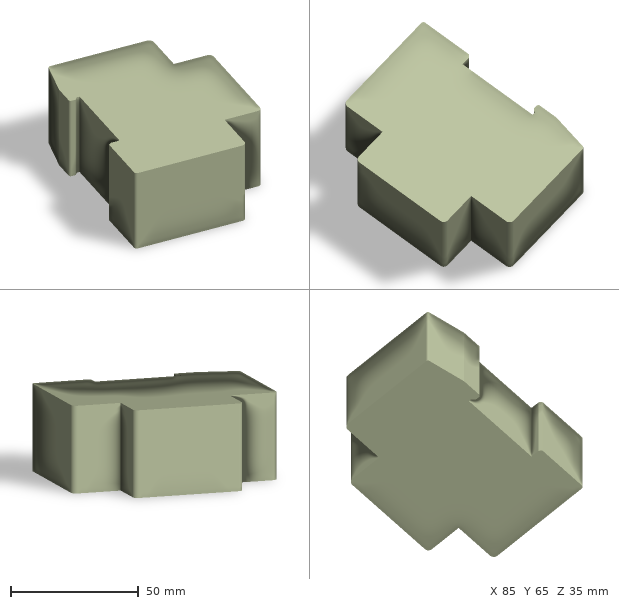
import cadquery as cq

width = 85.0
depth = 65.0
height = 35.0

tower_width = 45.2
tower_left = (width - tower_width) / 2
tower_right = tower_left + tower_width
shoulder_y = 48.6

recess_depth = 5.0
recess_left = 25.0
recess_right = 60.6

hook_tip_x = 26.35
hook_root_y = 3.8
hook_tip_y = 2.6

slope_start_y = 3.5
slope_end_x = 17.0

bevel_width = 0.85
bevel_depth = 1.2

shoulder_radius = 2.1
tower_radius = 1.95
foot_radius = 1.0
hook_radius = 0.85

outline = [
    (0, slope_start_y),
    (slope_end_x, 0),
    (hook_tip_x, 0),
    (hook_tip_x, hook_tip_y),
    (recess_left, hook_root_y),
    (recess_left, recess_depth),
    (recess_right, recess_depth),
    (recess_right, bevel_depth),
    (recess_right + bevel_width, 0),
    (width, 0),
    (width, shoulder_y),
    (tower_right, shoulder_y),
    (tower_right, depth),
    (tower_left, depth),
    (tower_left, shoulder_y),
    (0, shoulder_y),
]


def round_corners(body, corners, radius):
    """Round the vertical edges that stand on the given outline corners."""
    for x, y in corners:
        edge = cq.selectors.NearestToPointSelector((x, y, height / 2))
        body = body.edges("|Z").edges(edge).fillet(radius)
    return body


result = cq.Workplane("XY").polyline(outline).close().extrude(height)

shoulder_corners = [(0, shoulder_y), (width, shoulder_y)]
result = round_corners(result, shoulder_corners, shoulder_radius)

tower_corners = [(tower_left, depth), (tower_right, depth)]
result = round_corners(result, tower_corners, tower_radius)

foot_corners = [(0, slope_start_y), (width, 0)]
result = round_corners(result, foot_corners, foot_radius)

result = round_corners(result, [(hook_tip_x, 0)], hook_radius)